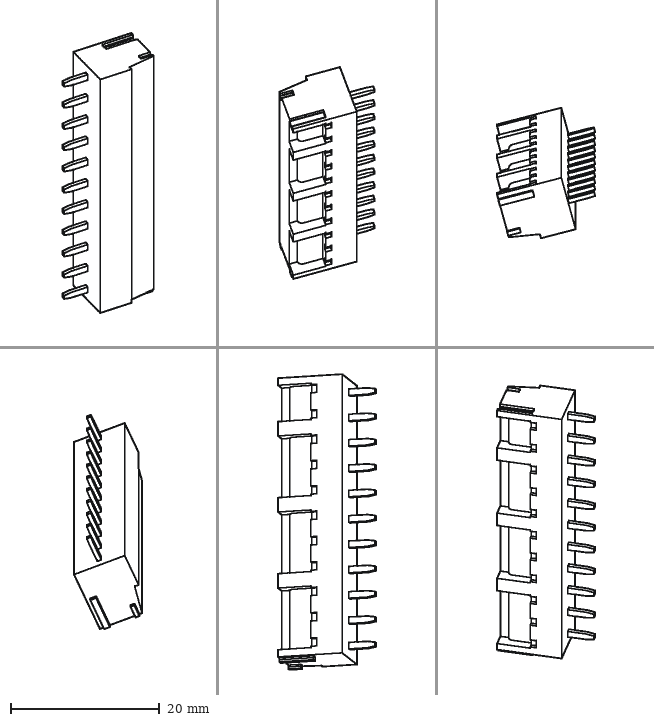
import cadquery as cq


pin_count = 11
body_height = 38.5
pitch = body_height / pin_count
body_width = 7.4
body_depth = 9.0
taper_depth = 4.15
taper_base_width = 6.85
taper_tip_width = 6.17

spacer_positions = [0, 3, 6, 9, 11]
spacer_thickness = 2.0
window_length = 4.6
window_depth = 1.3
back_window_depth = 1.85
window_edge_length = 0.65
window_step_from_back = 1.17
window_edge_drop = back_window_depth - window_depth
window_edge_radius = (window_edge_length**2 + window_edge_drop**2) / (2 * window_edge_drop)

pocket_length = 0.82
pocket_height = 1.15
pocket_depth = 0.5

pin_length = 3.65
pin_width = 0.6
pin_height = 0.9
pin_tip_height = 0.55
pin_tip_length = 1.05

wide_joint_x = 1.05
wide_rail_width = 0.98
wide_groove_neck = 0.95
wide_rail_length = 4.8
wide_groove_length = 4.75
narrow_joint_x = 5.5
narrow_rail_width = 0.7
narrow_groove_neck = 0.45
narrow_joint_length = 1.75
overall_height = 39.05
rail_height = overall_height - body_height
rail_flare = 0.08
rail_flare_height = 0.27
groove_depth = 0.62
groove_flare = 0.1


def box(x, y, z, width, depth, height):
    """A block with its lowest corner at (x, y, z)."""
    return cq.Workplane("XY").box(width, depth, height, centered=False).translate((x, y, z))


def extrude_from_back(outline, length):
    """Extrude an XZ outline from the +Y face of the housing toward -Y."""
    return outline.extrude(length).translate((0, body_depth, 0))


def make_housing():
    return (
        cq.Workplane("XY")
        .polyline([
            (0, 0),
            (body_width, 0),
            (body_width, body_depth - taper_depth),
            (taper_base_width, body_depth - taper_depth),
            (taper_tip_width, body_depth),
            (0, body_depth),
        ])
        .close()
        .extrude(body_height)
    )


def make_window(bottom, top):
    """A recess whose floor drops over a rounded edge toward +Y."""
    step_y = body_depth - window_step_from_back
    return (
        cq.Workplane("XY", origin=(0, 0, bottom))
        .moveTo(0, body_depth - window_length)
        .lineTo(window_depth, body_depth - window_length)
        .lineTo(window_depth, step_y - window_edge_length)
        .radiusArc((back_window_depth, step_y), window_edge_radius)
        .lineTo(back_window_depth, body_depth)
        .lineTo(0, body_depth)
        .close()
        .extrude(top - bottom)
    )


def make_pocket(pin_z):
    pocket_y = body_depth - window_length - pocket_length
    return box(0, pocket_y, pin_z - pocket_height / 2, pocket_depth, pocket_length, pocket_height)


def make_pin(pin_z):
    """A flat pin pointing toward -Y with its tip tapered in height."""
    shoulder_y = pin_tip_length - pin_length
    half = pin_height / 2
    half_tip = pin_tip_height / 2
    return (
        cq.Workplane("YZ", origin=((body_width - pin_width) / 2, 0, pin_z))
        .polyline([
            (0, -half),
            (0, half),
            (shoulder_y, half),
            (-pin_length, half_tip),
            (-pin_length, -half_tip),
            (shoulder_y, -half),
        ])
        .close()
        .extrude(pin_width)
    )


def make_rail(center_x, width, length):
    """A rail that is widest part way down and narrower at its root and its bottom."""
    half = width / 2
    outline = (
        cq.Workplane("XZ", origin=(center_x, 0, 0))
        .polyline([
            (rail_flare - half, 0),
            (half - rail_flare, 0),
            (half, -rail_flare_height),
            (half - rail_flare, -rail_height),
            (rail_flare - half, -rail_height),
            (-half, -rail_flare_height),
        ])
        .close()
    )
    return extrude_from_back(outline, length)


def make_groove(center_x, neck, length):
    """A groove with V-shaped ridges along both side walls, leaving a neck at mid depth."""
    half = neck / 2
    wide = half + groove_flare
    outline = (
        cq.Workplane("XZ", origin=(center_x, 0, body_height))
        .polyline([
            (-wide, 0),
            (-half, -groove_depth / 2),
            (-wide, -groove_depth),
            (wide, -groove_depth),
            (half, -groove_depth / 2),
            (wide, 0),
        ])
        .close()
    )
    return extrude_from_back(outline, length)


result = make_housing()

for lower, upper in zip(spacer_positions, spacer_positions[1:]):
    window_bottom = lower * pitch + spacer_thickness / 2
    window_top = upper * pitch - spacer_thickness / 2
    result = result.cut(make_window(window_bottom, window_top))

for index in range(pin_count):
    pin_z = (index + 0.5) * pitch
    result = result.cut(make_pocket(pin_z)).union(make_pin(pin_z))

result = result.cut(make_groove(wide_joint_x, wide_groove_neck, wide_groove_length))
result = result.cut(make_groove(narrow_joint_x, narrow_groove_neck, narrow_joint_length))
result = result.union(make_rail(wide_joint_x, wide_rail_width, wide_rail_length))
result = result.union(make_rail(narrow_joint_x, narrow_rail_width, narrow_joint_length))